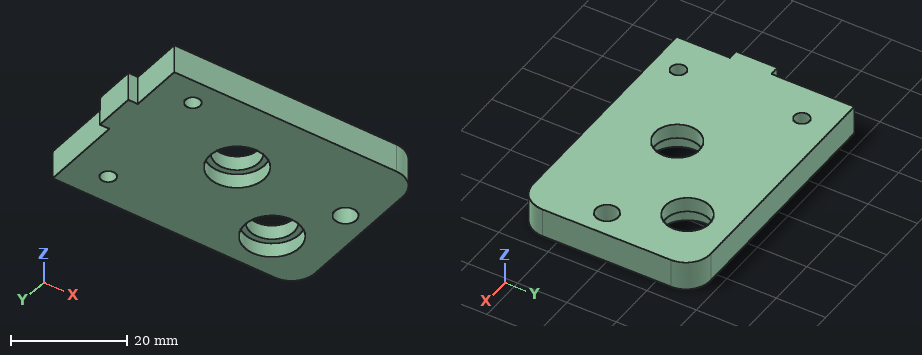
import cadquery as cq

length = 54.0
width = 36.0
thickness = 6.0
corner_radius = 5.0
tab_length = 2.0
tab_width = 8.4
tab_bottom = 10.8

mount_diameter = 3.0
pin_diameter = 4.5
bore_diameter = 9.0
counterbore_diameter = 11.4
bore_lip = 3.0

mount_x = 9.5
mount_bottom_y = 5.0
mount_top_y = width - 6.0
bore_x = 26.05
bore_y = tab_bottom + tab_width / 2
second_bore_x = bore_x + 16.0
second_bore_y = bore_y + 12.0
pin_x = 49.0

plate = (
    cq.Workplane("XY")
    .box(length - tab_length, width, thickness, centered=False)
    .translate((tab_length, 0, 0))
    .edges("|Z and >X")
    .fillet(corner_radius)
)

tab = (
    cq.Workplane("XY")
    .box(tab_length, tab_width, thickness, centered=False)
    .translate((0, tab_bottom, 0))
)


def cylinders(points, diameter, height):
    """Upright cylinders standing on the bottom face."""
    return cq.Workplane("XY").pushPoints(points).circle(diameter / 2).extrude(height)


mount_points = [(mount_x, mount_bottom_y), (mount_x, mount_top_y)]
bore_points = [(bore_x, bore_y), (second_bore_x, second_bore_y)]

result = (
    plate.union(tab)
    .cut(cylinders(mount_points, mount_diameter, thickness))
    .cut(cylinders([(pin_x, bore_y)], pin_diameter, thickness))
    .cut(cylinders(bore_points, bore_diameter, thickness))
    .cut(cylinders(bore_points, counterbore_diameter, thickness - bore_lip))
)